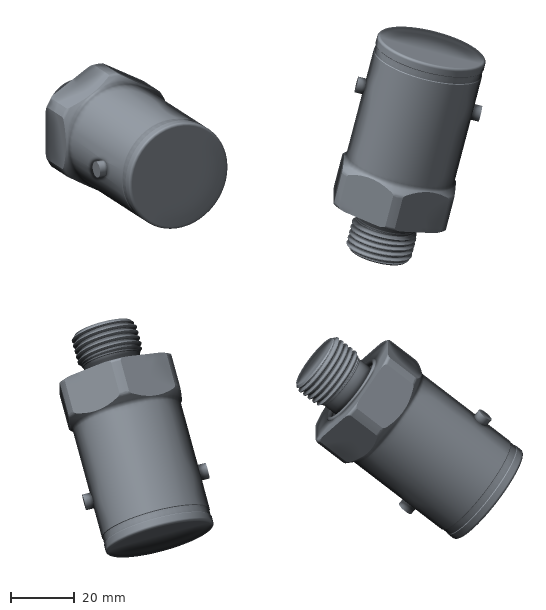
import cadquery as cq
import math

overall_length = 70.15

body_radius = 17.5
end_round = 0.85
groove_start = 64.8
groove_end = 67.4
groove_depth = 0.2

hex_across_flats = 36.05
hex_corner_radius = 20.0
hex_front = 14.95
hex_front_round = 1.05
cone_start = 26.65
cone_angle = 45
cone_round = 1.6

stub_radius = 9.1
thread_root_radius = 9.3
thread_crest_radius = 10.45
thread_pitch = 1.8
thread_crest_width = 0.3
thread_flank_angle = 27.5
thread_top_crest = 2.7
thread_end = 10.4
relief_start = 10.7

seal_radius = 11.35
seal_section_radius = 0.9
seal_protrusion = 0.55
seal_bedding = 0.1
seal_recess_depth = 1.75

pin_radius = 2.5
pin_span = 39.9
pin_position = 52.6


def turned(outline):
    """Revolve a half outline (X, radius) about the X axis."""
    return outline.close().revolve(360, (0, 0, 0), (1, 0, 0))


def make_body():
    groove_radius = body_radius - groove_depth
    outline = (
        cq.Workplane("XY")
        .moveTo(hex_front, 0)
        .lineTo(hex_front, body_radius)
        .lineTo(groove_start, body_radius)
        .lineTo(groove_start + groove_depth, groove_radius)
        .lineTo(groove_end - groove_depth, groove_radius)
        .lineTo(groove_end, body_radius)
        .lineTo(overall_length - end_round, body_radius)
        .radiusArc((overall_length, body_radius - end_round), end_round)
        .lineTo(overall_length, 0)
    )
    return turned(outline)


def make_hexagon():
    """Hexagon with two corners along Z, turned down at its corners and both ends."""
    slope = math.radians(cone_angle)
    cone_end = cone_start + (hex_corner_radius - body_radius) / math.tan(slope)
    tangent_length = cone_round * math.tan(slope / 2)
    tangent_x = tangent_length * math.cos(slope)
    tangent_r = tangent_length * math.sin(slope)
    rear = cone_end + tangent_length

    prism = (
        cq.Workplane("YZ", origin=(hex_front, 0, 0))
        .polygon(6, hex_across_flats, circumscribed=True)
        .extrude(rear - hex_front)
    )
    outline = (
        cq.Workplane("XY")
        .moveTo(hex_front, 0)
        .lineTo(hex_front, hex_corner_radius - hex_front_round)
        .radiusArc((hex_front + hex_front_round, hex_corner_radius), hex_front_round)
        .lineTo(cone_start - tangent_length, hex_corner_radius)
        .radiusArc((cone_start + tangent_x, hex_corner_radius - tangent_r), cone_round)
        .lineTo(cone_end - tangent_x, body_radius + tangent_r)
        .radiusArc((rear, body_radius), -cone_round)
        .lineTo(rear, 0)
    )
    return turned(outline).intersect(prism)


def make_stub():
    """Threadless core of the stub, standing on the floor of the seal recess."""
    stub_end = hex_front + seal_recess_depth
    root_step = thread_root_radius - stub_radius
    outline = (
        cq.Workplane("XY")
        .lineTo(0, stub_radius)
        .lineTo(root_step, thread_root_radius)
        .lineTo(relief_start - root_step, thread_root_radius)
        .lineTo(relief_start, stub_radius)
        .lineTo(stub_end, stub_radius)
        .lineTo(stub_end, 0)
    )
    return turned(outline)


def make_thread():
    """Right-hand thread ridge, trimmed by a 45 degree chamfer at both ends."""
    root_overlap = 0.15
    trim_clearance = 0.35
    base_radius = thread_root_radius - root_overlap
    flank_run = (thread_crest_radius - base_radius) * math.tan(math.radians(thread_flank_angle))
    half_crest = thread_crest_width / 2
    half_base = half_crest + flank_run
    start = thread_top_crest - 2 * thread_pitch
    turns = math.ceil((thread_end - start) / thread_pitch) + 1

    path = cq.Wire.makeHelix(thread_pitch, turns * thread_pitch, base_radius)
    ridge = (
        cq.Workplane("XZ")
        .moveTo(base_radius, -half_base)
        .lineTo(thread_crest_radius, -half_crest)
        .lineTo(thread_crest_radius, half_crest)
        .lineTo(base_radius, half_base)
        .close()
        .sweep(cq.Workplane(obj=path), isFrenet=True)
        .rotate((0, 0, 0), (0, 1, 0), 90)
        .rotate((0, 0, 0), (1, 0, 0), 180)
        .translate((start, 0, 0))
    )
    trim_height = thread_crest_radius - stub_radius + trim_clearance
    trim_radius = stub_radius + trim_height
    envelope = (
        cq.Workplane("XY")
        .lineTo(0, stub_radius)
        .lineTo(trim_height, trim_radius)
        .lineTo(thread_end - trim_height, trim_radius)
        .lineTo(thread_end, stub_radius)
        .lineTo(thread_end, 0)
    )
    return ridge.intersect(turned(envelope))


def make_seal_recess():
    """Round recess for the stub and seal, slightly undersized so that the seal is bedded in its wall."""
    return (
        cq.Workplane("YZ", origin=(hex_front, 0, 0))
        .circle(seal_radius + seal_section_radius - seal_bedding)
        .extrude(seal_recess_depth)
    )


def make_seal():
    seal_center = hex_front - seal_protrusion + seal_section_radius
    ring = cq.Solid.makeTorus(
        seal_radius,
        seal_section_radius,
        cq.Vector(seal_center, 0, 0),
        cq.Vector(1, 0, 0),
    )
    return cq.Workplane(obj=ring)


def make_pins():
    return (
        cq.Workplane("XZ", origin=(pin_position, 0, 0))
        .circle(pin_radius)
        .extrude(pin_span / 2, both=True)
    )


result = (
    make_body()
    .union(make_hexagon())
    .cut(make_seal_recess())
    .union(make_seal())
    .union(make_pins())
    .union(make_stub().union(make_thread()))
)